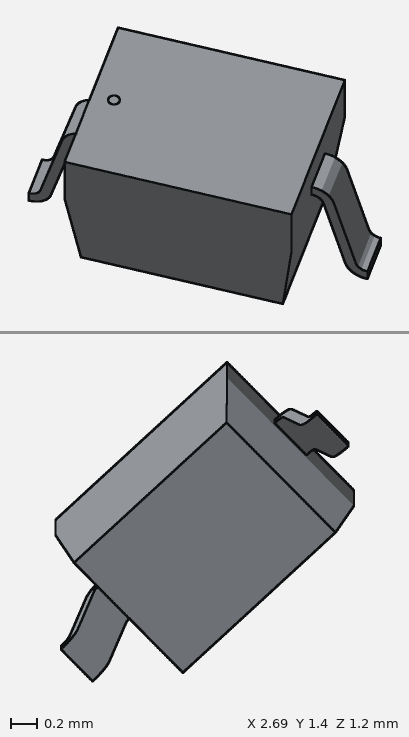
import cadquery as cq
import math

housing_length = 1.802
housing_width = 1.4
housing_height = 1.2
parting_height = 0.765
base_inset = 0.1

lead_span = 2.69
lead_width = 0.35
lead_thickness = 0.09
lead_top = 0.928
bend_inner_radius = 0.09
bend_outer_radius = bend_inner_radius + lead_thickness
bend_angle = math.radians(75)

mark_diameter = 0.09
mark_depth = 0.027
mark_x = -0.72


def make_mark():
    return (
        cq.Workplane("XY", origin=(mark_x, 0, housing_height - mark_depth))
        .circle(mark_diameter / 2)
        .extrude(mark_depth)
    )


def make_housing(mark):
    upper = (
        cq.Workplane("XY", origin=(0, 0, parting_height))
        .rect(housing_length, housing_width)
        .extrude(housing_height - parting_height)
    )
    lower = (
        cq.Workplane("XY")
        .rect(housing_length - 2 * base_inset, housing_width - 2 * base_inset)
        .workplane(offset=parting_height)
        .rect(housing_length, housing_width)
        .loft(ruled=True)
    )
    return upper.union(lower).cut(mark)


def make_lead():
    """Lead on the +X end, its inner end face against the housing wall."""
    wall_x = housing_length / 2
    tip_x = lead_span / 2

    bend_run = (bend_inner_radius + bend_outer_radius) * math.sin(bend_angle)
    bend_drop = (bend_inner_radius + bend_outer_radius) * (1 - math.cos(bend_angle))
    slope_drop = lead_top - lead_thickness - bend_drop
    slope_run = slope_drop / math.tan(bend_angle)
    flat_length = (tip_x - wall_x - bend_run - slope_run) / 2

    shoulder_x = wall_x + flat_length
    shoulder_z = lead_top - bend_outer_radius
    foot_x = tip_x - flat_length
    foot_z = bend_outer_radius

    def shoulder_point(radius, angle):
        return (shoulder_x + radius * math.sin(angle), shoulder_z + radius * math.cos(angle))

    def foot_point(radius, angle):
        return (foot_x - radius * math.sin(angle), foot_z - radius * math.cos(angle))

    mid_angle = bend_angle / 2
    outer = bend_outer_radius
    inner = bend_inner_radius
    profile = (
        cq.Workplane("XZ", origin=(0, lead_width / 2, 0))
        .moveTo(wall_x, lead_top)
        .lineTo(*shoulder_point(outer, 0))
        .threePointArc(shoulder_point(outer, mid_angle), shoulder_point(outer, bend_angle))
        .lineTo(*foot_point(inner, bend_angle))
        .threePointArc(foot_point(inner, mid_angle), foot_point(inner, 0))
        .lineTo(tip_x, lead_thickness)
        .lineTo(tip_x, 0)
        .lineTo(*foot_point(outer, 0))
        .threePointArc(foot_point(outer, mid_angle), foot_point(outer, bend_angle))
        .lineTo(*shoulder_point(inner, bend_angle))
        .threePointArc(shoulder_point(inner, mid_angle), shoulder_point(inner, 0))
        .lineTo(wall_x, lead_top - lead_thickness)
        .close()
    )
    return profile.extrude(lead_width)


mark = make_mark()
housing = make_housing(mark)
leads = [make_lead().rotate((0, 0, 0), (0, 0, 1), turn) for turn in (0, 180)]

result = cq.Compound.makeCompound([housing.val(), mark.val(), *[lead.val() for lead in leads]])